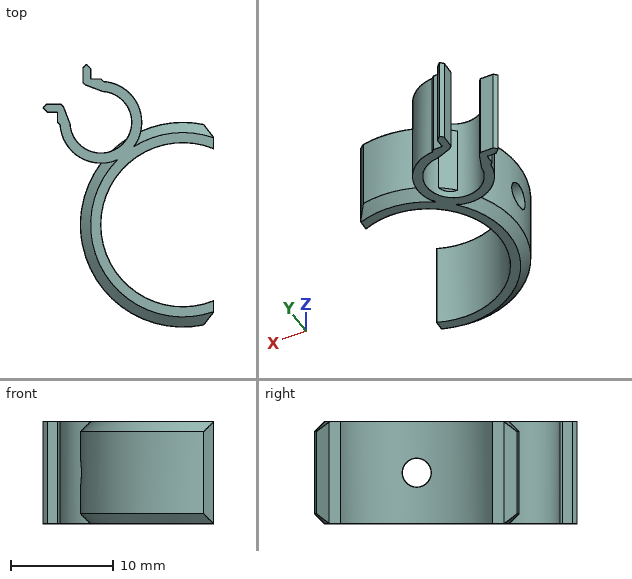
import cadquery as cq
import math

height = 10.0

ring_outer_radius = 10.0
ring_inner_radius = 8.0
ring_end_x = 3.0
ring_chamfer = 1.0
pin_hole_diameter = 2.8

clip_center_x = -8.0
clip_center_y = 10.0
clip_outer_radius = 4.0
clip_inner_radius = 3.0
mouth_angle = 135.0

lip_tip_reach = 5.0
lip_half_span = 3.0
lip_thickness = 0.8
shoulder_reach = 3.0
throat_half_width = 1.5
throat_start_reach = 3.65
throat_end_reach = 4.0
inner_arc_end_reach = 2.0


def make_ring():
    """Large C-shaped ring with its outer wall chamfered all round."""
    half_angle = math.acos(ring_end_x / ring_outer_radius)
    inner_half_angle = math.acos(ring_end_x / ring_inner_radius)
    outer_y = ring_outer_radius * math.sin(half_angle)
    inner_y = ring_inner_radius * math.sin(inner_half_angle)
    ring = (
        cq.Workplane("XY")
        .moveTo(ring_end_x, outer_y)
        .threePointArc((-ring_outer_radius, 0), (ring_end_x, -outer_y))
        .lineTo(ring_end_x, -inner_y)
        .threePointArc((-ring_inner_radius, 0), (ring_end_x, inner_y))
        .close()
        .extrude(height)
    )
    outer_wall = cq.selectors.NearestToPointSelector((-ring_outer_radius, 0, height / 2))
    return ring.faces(outer_wall).edges().chamfer(ring_chamfer)


def lip_side():
    """Upper half of the lip outline as (along, across) points, from outer arc to inner arc."""
    inner_offset = throat_end_reach - throat_half_width
    outer_offset = inner_offset - lip_thickness * math.sqrt(2)
    corner_sum = shoulder_reach + lip_half_span
    return [
        (math.sqrt(clip_outer_radius**2 - lip_half_span**2), lip_half_span),
        (shoulder_reach, lip_half_span),
        ((corner_sum + outer_offset) / 2, (corner_sum - outer_offset) / 2),
        (lip_half_span + outer_offset, lip_half_span),
        (lip_tip_reach, lip_half_span),
        (lip_tip_reach, lip_tip_reach - inner_offset),
        (throat_end_reach, throat_half_width),
        (throat_start_reach, throat_half_width),
        (inner_arc_end_reach, math.sqrt(clip_inner_radius**2 - inner_arc_end_reach**2)),
    ]


def make_clip():
    """Small snap clip, drawn with its mouth along +X, then turned and placed."""
    upper = lip_side()
    lower = [(along, -across) for along, across in reversed(upper)]
    outline = cq.Workplane("XY").moveTo(*upper[0])
    for point in upper[1:]:
        outline = outline.lineTo(*point)
    outline = outline.threePointArc((-clip_inner_radius, 0), lower[0])
    for point in lower[1:]:
        outline = outline.lineTo(*point)
    outline = outline.threePointArc((-clip_outer_radius, 0), upper[0])
    return (
        outline.close()
        .extrude(height)
        .rotate((0, 0, 0), (0, 0, 1), mouth_angle)
        .translate((clip_center_x, clip_center_y, 0))
    )


def make_pin_hole():
    """Radial hole through the back of the large ring at mid height."""
    return (
        cq.Workplane("YZ")
        .center(0, height / 2)
        .circle(pin_hole_diameter / 2)
        .extrude(-ring_outer_radius)
    )


result = make_ring().union(make_clip()).cut(make_pin_hole())